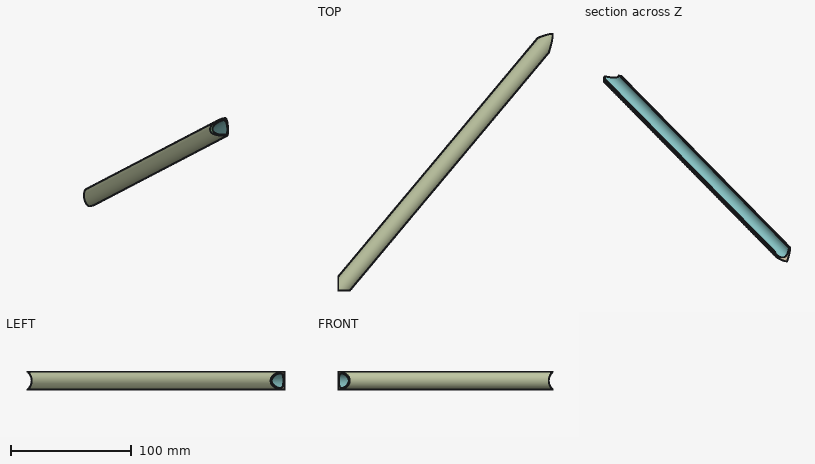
import cadquery as cq
import math

TUBE_DIAMETER = 15.0
WALL = 1.5
RAIL_DIAMETER = 20.0
TIP_X = 178.39
TIP_Y = 213.34

TUBE_RADIUS = TUBE_DIAMETER / 2
BORE_RADIUS = TUBE_RADIUS - WALL
RAIL_RADIUS = RAIL_DIAMETER / 2
TIP_DISTANCE = math.hypot(TIP_X, TIP_Y)
OVERRUN = 2 * TUBE_DIAMETER
CUTTER_SIZE = 4 * OVERRUN

RAIL_OFFSET = math.sqrt(RAIL_RADIUS**2 - TUBE_RADIUS**2)
RAIL_CROSSING = cq.Vector(TIP_X + RAIL_OFFSET, TIP_Y + RAIL_OFFSET, 0)

BRACE_CROSSING = cq.Vector(0, 0, 0)
BRACE_DIRECTION = cq.Vector(TIP_X, TIP_Y, 0).normalized()
OTHER_BRACE_DIRECTION = cq.Vector(-TIP_X, TIP_Y, 0).normalized()
X_DIRECTION = cq.Vector(1, 0, 0)
Y_DIRECTION = cq.Vector(0, 1, 0)
Z_DIRECTION = cq.Vector(0, 0, 1)


def raw_tube():
    """Straight tube along the brace axis, longer than the part at both ends."""
    start_plane = cq.Plane(
        origin=BRACE_DIRECTION * -OVERRUN, xDir=Z_DIRECTION, normal=BRACE_DIRECTION
    )
    length = TIP_DISTANCE + 2 * OVERRUN
    return cq.Workplane(start_plane).circle(TUBE_RADIUS).circle(BORE_RADIUS).extrude(length)


def cope_cutter(radius, center, axis, outward):
    """Cylinder along axis, widened on its outward side to clear the tube beyond it."""
    start_plane = cq.Plane(origin=center - axis * (CUTTER_SIZE / 2), xDir=outward, normal=axis)
    cylinder = cq.Workplane(start_plane).circle(radius).extrude(CUTTER_SIZE)
    beyond = (
        cq.Workplane(start_plane)
        .center(CUTTER_SIZE / 2, 0)
        .rect(CUTTER_SIZE, 2 * radius)
        .extrude(CUTTER_SIZE)
    )
    return cylinder.union(beyond)


def crossing_brace():
    """Cutter for the near end, shaped to the other diagonal of the same diameter."""
    outward = Z_DIRECTION.cross(OTHER_BRACE_DIRECTION)
    return cope_cutter(TUBE_RADIUS, BRACE_CROSSING, OTHER_BRACE_DIRECTION, outward)


def frame_rail(axis, outward):
    """Cutter for the far end, shaped to one of the frame rails."""
    return cope_cutter(RAIL_RADIUS, RAIL_CROSSING, axis, outward)


result = (
    raw_tube()
    .cut(crossing_brace())
    .cut(frame_rail(X_DIRECTION, Y_DIRECTION))
    .cut(frame_rail(Y_DIRECTION, X_DIRECTION))
)